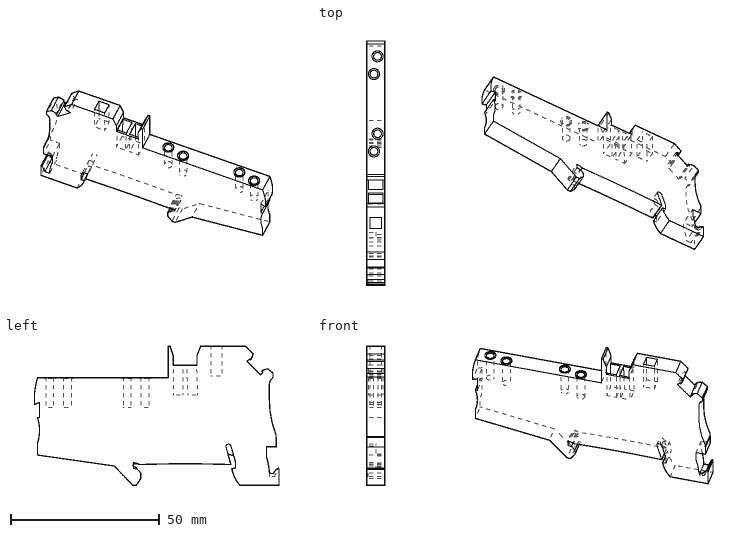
import cadquery as cq


width = 6.15
length = 82.4
height = 46.85

deck_z = 36.25
channel_floor_z = 40.45
channel_bevel_z = 43.65
belly_z = 6.95
belly_crown_z = 7.2

tower_y = 37.35
channel_back_y = 35.6
channel_front_y = 27.7
tail_y = 81.4
tail_recess_y = 80.7
hook_wall_y = 49.05
slot_mouth_y = 16.2
grip_y = 3.25
ledge_y = 0.95
neck_y = 4.2

toe_skin = 0.4
toe_notch_floor_z = 3.0
toe_skin_z = 4.0

hole_radius = 1.3
collar_radius = 1.85
collar_depth = 0.3
hole_depth = 10.0
hole_offset_x = 0.6
hole_pair_y = (74.2, 48.15)
hole_half_spacing_y = 2.98

pocket_depth = 10.0
channel_pocket_width = 4.8
channel_pocket_length = 3.3
channel_pocket_lip = 0.1
channel_pocket_lean = 0.36
test_pocket_size = 3.75
test_pocket_y = 21.05

fill_thickness = width / 2


def extrude_outline(outline, x_start, thickness):
    """Extrude a closed sketch in the YZ plane along +X."""
    return outline.close().extrude(thickness).translate((x_start, 0, 0))


def housing():
    outline = (
        cq.Workplane("YZ")
        .moveTo(0, 0)
        .lineTo(0, 5.35)
        .lineTo(0.2, 5.75)
        .lineTo(0.45, 5.65)
        .lineTo(1.5, toe_notch_floor_z)
        .lineTo(3.2, toe_notch_floor_z)
        .threePointArc((3.45, 6.25), (neck_y, 9.5))
        .lineTo(neck_y, 12.9)
        .lineTo(ledge_y, 12.9)
        .lineTo(ledge_y, 16.05)
        .lineTo(1.05, 16.35)
        .threePointArc((1.0, 16.8), (1.1, 17.25))
        .threePointArc((2.55, 22.1), (grip_y, 28.8))
        .lineTo(grip_y, 33.9)
        .threePointArc((2.95, 35.1), (2.2, 36.1))
        .lineTo(2.0, 36.45)
        .lineTo(2.0, 37.7)
        .lineTo(3.8, 39.25)
        .threePointArc((4.95, 38.95), (5.9, 38.45))
        .lineTo(5.5, 38.1)
        .lineTo(6.25, 37.25)
        .lineTo(10.75, 41.75)
        .lineTo(9.95, 42.5)
        .lineTo(9.6, 42.2)
        .threePointArc((9.05, 43.2), (8.7, 44.2))
        .lineTo(11.3, height)
        .lineTo(26.45, height)
        .lineTo(channel_front_y, channel_bevel_z)
        .lineTo(channel_front_y, channel_floor_z)
        .lineTo(channel_back_y, channel_floor_z)
        .lineTo(channel_back_y, channel_bevel_z)
        .lineTo(36.7, height)
        .lineTo(tower_y, height)
        .lineTo(tower_y, deck_z)
        .lineTo(tail_y, deck_z)
        .threePointArc((82.0, 33.6), (length, 31.0))
        .lineTo(length, 27.2)
        .lineTo(tail_recess_y, 27.8)
        .lineTo(tail_recess_y, 22.85)
        .lineTo(tail_y, 22.85)
        .threePointArc((tail_recess_y, 18.2), (tail_y, 14.15))
        .lineTo(tail_y, 10.15)
        .lineTo(55.5, 6.45)
        .lineTo(49.3, 0)
        .lineTo(48.1, 0)
        .lineTo(46.55, 2.2)
        .lineTo(46.55, 4.2)
        .lineTo(47.8, 5.45)
        .lineTo(hook_wall_y, 5.7)
        .lineTo(hook_wall_y, 7.65)
        .lineTo(48.35, 7.55)
        .lineTo(47.05, belly_z)
        .threePointArc((31.5, belly_crown_z), (slot_mouth_y, belly_z))
        .lineTo(17.95, 13.15)
        .threePointArc((17.05, 13.85), (16.2, 13.15))
        .lineTo(15.2, 9.65)
        .lineTo(14.7, 7.65)
        .lineTo(14.7, 5.9)
        .lineTo(15.95, 5.55)
        .threePointArc((15.0, 2.65), (13.25, 0))
    )
    return extrude_outline(outline, -width / 2, width)


def toe_notch_skin():
    """Thin plate with a rounded trough, set in the bottom of the notch behind the toe."""
    outline = (
        cq.Workplane("YZ")
        .moveTo(0.4, toe_notch_floor_z)
        .lineTo(0.4, 5.65)
        .threePointArc((1.25, 5.0), (1.95, toe_skin_z))
        .lineTo(2.7, toe_skin_z)
        .tangentArcPoint((grip_y, 4.5), relative=False)
        .lineTo(3.5, toe_notch_floor_z)
    )
    return extrude_outline(outline, -width / 2, toe_skin)


def slot_fill():
    """Web that closes the upper end of the spring slot."""
    outline = (
        cq.Workplane("YZ")
        .moveTo(17.15, 10.4)
        .lineTo(18.5, 13.0)
        .lineTo(17.05, 14.5)
        .lineTo(15.5, 13.0)
        .lineTo(15.2, 9.9)
    )
    return extrude_outline(outline, width / 2 - fill_thickness, fill_thickness)


def hook_fills():
    """Two small webs that narrow the mouth of the hook notch."""
    upper = (
        cq.Workplane("YZ")
        .moveTo(hook_wall_y, 7.2)
        .lineTo(hook_wall_y, 7.65)
        .lineTo(48.35, 7.55)
        .lineTo(47.6, 7.2)
    )
    lower = (
        cq.Workplane("YZ")
        .moveTo(hook_wall_y, 6.4)
        .lineTo(48.05, 5.95)
        .lineTo(47.8, 5.45)
        .lineTo(hook_wall_y, 5.7)
    )
    start = width / 2 - fill_thickness
    return extrude_outline(upper, start, fill_thickness).union(extrude_outline(lower, start, fill_thickness))


def wiring_hole(x, y):
    bore = cq.Workplane("XY", origin=(x, y, deck_z)).circle(hole_radius).extrude(-hole_depth)
    collar = cq.Workplane("XY", origin=(x, y, deck_z)).circle(collar_radius).extrude(-collar_depth)
    return bore.union(collar)


def pocket(y_center, top_z, size_x, size_y, lean=0.0):
    """Blind rectangular pocket whose bottom is shifted by lean towards -Y."""
    back = y_center + size_y / 2
    front = y_center - size_y / 2
    bottom_z = top_z - pocket_depth
    outline = (
        cq.Workplane("YZ")
        .moveTo(back, top_z)
        .lineTo(front, top_z)
        .lineTo(front - lean, bottom_z)
        .lineTo(back - lean, bottom_z)
    )
    return extrude_outline(outline, -size_x / 2, size_x)


result = housing().union(slot_fill()).union(hook_fills()).union(toe_notch_skin())

for pair_y in hole_pair_y:
    for side in (-1, 1):
        result = result.cut(wiring_hole(side * hole_offset_x, pair_y + side * hole_half_spacing_y))

back_pocket_y = channel_back_y - channel_pocket_length / 2
front_pocket_y = channel_front_y + channel_pocket_lip + channel_pocket_length / 2
for pocket_y, pocket_lean in ((back_pocket_y, 0.0), (front_pocket_y, channel_pocket_lean)):
    result = result.cut(
        pocket(pocket_y, channel_floor_z, channel_pocket_width, channel_pocket_length, pocket_lean)
    )

result = result.cut(pocket(test_pocket_y, height, test_pocket_size, test_pocket_size))